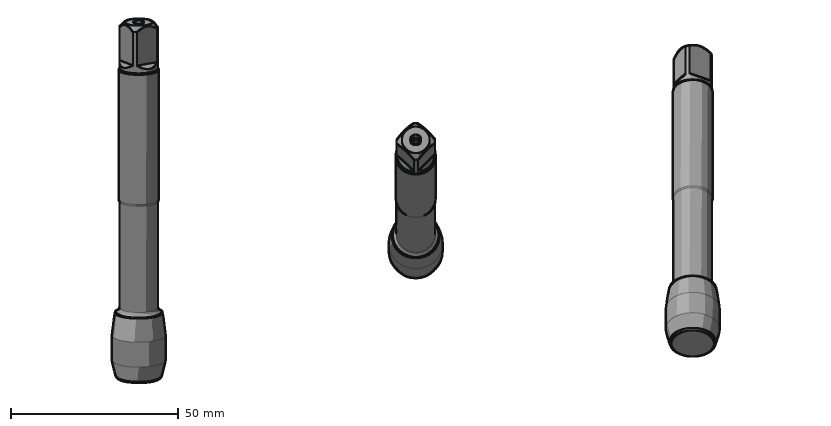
import cadquery as cq

length = 110.0

drive_flats = 9.0
drive_base = 96.8
collar_radius = 11.5 / 2
drive_top_radius = 4.2
drive_chamfer_height = 1.5

hole_radius = 2.0 / 2
hole_mouth_radius = 1.6
hole_depth = 3.3

shank_radius = 12.0 / 2
shank_top = 95.7
shank_chamfer_height = 0.4
shank_bottom = 55.1
neck_radius = 11.7 / 2
neck_top = 54.6
neck_bottom = 21.7

head_radius = 16.2 / 2
head_top = 20.1
head_top_radius = 7.2
flare_radius = 6.8
flare_middle = (6.2, 20.8)
head_edge = 0.2
band_top = 13.1
band_bottom = 5.4
nose_radius = 6.9
nose_edge = 0.5
upper_bulge = (7.7, 16.6)
lower_bulge = (7.6, 3.1)


def make_shank_profile():
    """Turned shank, from the head joint to the chamfered drive end."""
    flare_top = head_top + head_edge
    profile = (
        cq.Workplane("XZ")
        .moveTo(0, flare_top)
        .lineTo(flare_radius, flare_top)
        .threePointArc(flare_middle, (neck_radius, neck_bottom))
        .lineTo(neck_radius, neck_top)
        .lineTo(shank_radius, shank_bottom)
        .lineTo(shank_radius, shank_top - shank_chamfer_height)
        .lineTo(collar_radius, shank_top)
        .lineTo(collar_radius, length - drive_chamfer_height)
        .lineTo(drive_top_radius, length)
        .lineTo(0, length)
        .close()
    )
    return profile.revolve(360, (0, 0, 0), (0, 1, 0))


def make_flat_cutter():
    """Wedge that cuts the +X drive flat and its 45 degree run-out."""
    half_flats = drive_flats / 2
    runout = collar_radius - half_flats
    return (
        cq.Workplane("XZ")
        .moveTo(half_flats, length)
        .lineTo(half_flats, drive_base + runout)
        .lineTo(collar_radius, drive_base)
        .lineTo(shank_radius, drive_base)
        .lineTo(shank_radius, length)
        .close()
        .extrude(shank_radius, both=True)
    )


def make_center_hole():
    """Countersunk blind hole on the axis, with a 90 degree conical tip."""
    countersink = hole_mouth_radius - hole_radius
    return (
        cq.Workplane("XZ")
        .moveTo(0, length)
        .lineTo(hole_mouth_radius, length)
        .lineTo(hole_radius, length - countersink)
        .lineTo(hole_radius, length - hole_depth)
        .lineTo(0, length - hole_depth - hole_radius)
        .close()
        .revolve(360, (0, 0, 0), (0, 1, 0))
    )


def make_shank():
    shank = make_shank_profile()
    for quarter in range(4):
        cutter = make_flat_cutter().rotate((0, 0, 0), (0, 0, 1), 90 * quarter)
        shank = shank.cut(cutter)
    return shank.cut(make_center_hole())


def make_head():
    """Barrel-shaped head below the shank."""
    return (
        cq.Workplane("XZ")
        .lineTo(nose_radius - nose_edge, 0)
        .lineTo(nose_radius, nose_edge)
        .threePointArc(lower_bulge, (head_radius, band_bottom))
        .lineTo(head_radius, band_top)
        .threePointArc(upper_bulge, (head_top_radius, head_top))
        .lineTo(flare_radius, head_top + head_edge)
        .lineTo(0, head_top + head_edge)
        .close()
        .revolve(360, (0, 0, 0), (0, 1, 0))
    )


shank = make_shank()
head = make_head()
result = cq.Compound.makeCompound([shank.val(), head.val()])